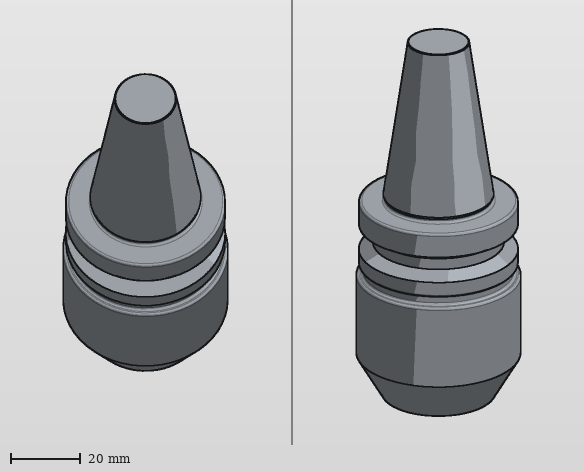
import cadquery as cq
import math

total_height = 111.4
gauge_height = 62.9
flange_top = 61.0
upper_flange_bottom = 53.6
groove_mid_height = 49.6
lower_flange_bottom = 40.8
body_top = 37.9
nose_cone_height = 12.7

gauge_radius = 15.9
relief_radius = 15.5
flange_radius = 23.0
groove_radius = 18.9
lower_neck_radius = 21.7
body_radius = 23.7

taper_slope = 7 / 48
groove_wall_slope = math.tan(math.radians(30))
nose_slope = math.tan(math.radians(30))
relief_chamfer_height = 0.8
relief_fillet = 0.8
edge_fillet = 0.8
neck_fillet = 0.8
taper_end_chamfer = 0.2

taper_top_radius = gauge_radius - (total_height - gauge_height) * taper_slope
nose_radius = body_radius - nose_cone_height * nose_slope
groove_wall_height = (flange_radius - groove_radius) * groove_wall_slope
groove_top = upper_flange_bottom - groove_wall_height
groove_bottom = 2 * groove_mid_height - groove_top
lower_flange_top = groove_bottom - groove_wall_height
upper_neck_fillet = flange_radius - edge_fillet - lower_neck_radius
diagonal = math.sqrt(0.5)


def round_corner(outline, center, radius, radial_side, axial_side, end):
    """Draw a quarter arc; the sides give the direction from its center to its middle."""
    middle = (
        center[0] + radial_side * radius * diagonal,
        center[1] + axial_side * radius * diagonal,
    )
    return outline.threePointArc(middle, end)


outline = (
    cq.Workplane("XZ")
    .moveTo(0, 0)
    .lineTo(nose_radius, 0)
    .lineTo(body_radius, nose_cone_height)
    .lineTo(body_radius, body_top - edge_fillet)
)

outline = round_corner(
    outline, (body_radius - edge_fillet, body_top - edge_fillet), edge_fillet, 1, 1,
    (body_radius - edge_fillet, body_top),
)
outline = outline.lineTo(lower_neck_radius + neck_fillet, body_top)
outline = round_corner(
    outline, (lower_neck_radius + neck_fillet, body_top + neck_fillet), neck_fillet, -1, -1,
    (lower_neck_radius, body_top + neck_fillet),
)
outline = outline.lineTo(lower_neck_radius, lower_flange_bottom - upper_neck_fillet)
outline = round_corner(
    outline,
    (lower_neck_radius + upper_neck_fillet, lower_flange_bottom - upper_neck_fillet),
    upper_neck_fillet, -1, 1,
    (lower_neck_radius + upper_neck_fillet, lower_flange_bottom),
)

outline = round_corner(
    outline,
    (flange_radius - edge_fillet, lower_flange_bottom + edge_fillet),
    edge_fillet, 1, -1,
    (flange_radius, lower_flange_bottom + edge_fillet),
)
outline = (
    outline.lineTo(flange_radius, lower_flange_top)
    .lineTo(groove_radius, groove_bottom)
    .lineTo(groove_radius, groove_top)
    .lineTo(flange_radius, upper_flange_bottom)
    .lineTo(flange_radius, flange_top - edge_fillet)
)
outline = round_corner(
    outline, (flange_radius - edge_fillet, flange_top - edge_fillet), edge_fillet, 1, 1,
    (flange_radius - edge_fillet, flange_top),
)

outline = outline.lineTo(relief_radius + relief_fillet, flange_top)
outline = round_corner(
    outline, (relief_radius + relief_fillet, flange_top + relief_fillet), relief_fillet, -1, -1,
    (relief_radius, flange_top + relief_fillet),
)
outline = (
    outline.lineTo(relief_radius, gauge_height - relief_chamfer_height)
    .lineTo(gauge_radius, gauge_height)
    .lineTo(taper_top_radius + taper_end_chamfer * taper_slope, total_height - taper_end_chamfer)
    .lineTo(taper_top_radius - taper_end_chamfer, total_height)
    .lineTo(0, total_height)
    .close()
)

result = outline.revolve(360, (0, 0, 0), (0, 1, 0))